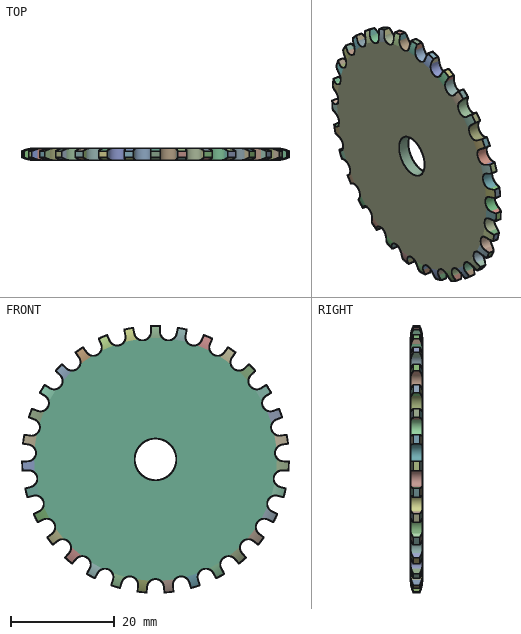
import cadquery as cq
import math

tooth_count = 31
tip_radius = 25.75
thickness = 2.3
bore_diameter = 8.0

chain_pitch = 5.0
seat_radius = 1.6

face_radius = 23.4
relief_radius = 5.25

pitch_angle = 360.0 / tooth_count
pitch_radius = chain_pitch / 2 / math.sin(math.radians(pitch_angle / 2))
half_thickness = thickness / 2
bore_radius = bore_diameter / 2


def relief_half_width(radius):
    """Half of the rim width at a given radius, on an arc tangent to the flat face."""
    rise = radius - face_radius
    return half_thickness - relief_radius + math.sqrt(relief_radius**2 - rise**2)


def make_blank():
    """Bored disc turned about Y, with its rim narrowed by the relief arcs."""
    middle_radius = (face_radius + tip_radius) / 2
    middle_half_width = relief_half_width(middle_radius)
    tip_half_width = relief_half_width(tip_radius)
    return (
        cq.Workplane("XY")
        .moveTo(bore_radius, -half_thickness)
        .lineTo(face_radius, -half_thickness)
        .threePointArc((middle_radius, -middle_half_width), (tip_radius, -tip_half_width))
        .lineTo(tip_radius, tip_half_width)
        .threePointArc((middle_radius, middle_half_width), (face_radius, half_thickness))
        .lineTo(bore_radius, half_thickness)
        .close()
        .revolve(360, (0, 0, 0), (0, 1, 0))
    )


def make_gap_cutter():
    """Cutter for the gap at the bottom of the wheel (-Z).

    A round roller seat runs tangentially into straight flanks. Each flank is parallel
    to the centerline of its tooth, so it leans outward by half the pitch angle.
    """
    lean = math.radians(pitch_angle / 2)
    flank_start_x = seat_radius * math.cos(lean)
    flank_start_z = -pitch_radius + seat_radius * math.sin(lean)
    cutter_end_z = -tip_radius - seat_radius
    flank_end_x = flank_start_x + (flank_start_z - cutter_end_z) * math.tan(lean)
    return (
        cq.Workplane("XZ")
        .moveTo(-flank_end_x, cutter_end_z)
        .lineTo(-flank_start_x, flank_start_z)
        .threePointArc((0, -pitch_radius + seat_radius), (flank_start_x, flank_start_z))
        .lineTo(flank_end_x, cutter_end_z)
        .close()
        .extrude(thickness, both=True)
    )


def cut_gaps(blank):
    """Remove one gap per tooth, leaving a tooth centered at the top (+Z)."""
    gap = make_gap_cutter()
    for index in range(tooth_count):
        blank = blank.cut(gap.rotate((0, 0, 0), (0, 1, 0), index * pitch_angle))
    return blank


result = cut_gaps(make_blank())